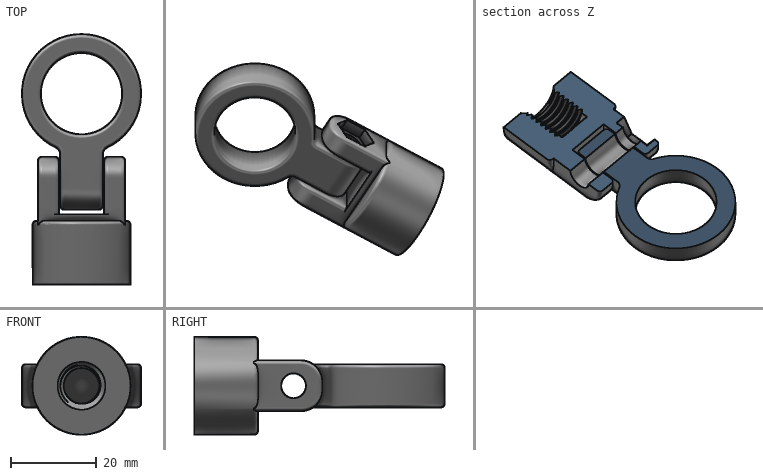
import cadquery as cq
import math

EDGE_ROUND = 1.0
END_ROUND = 5.0

PIVOT_Y = 23.3
PIVOT_DIAMETER = 5.75

HUB_DIAMETER = 23.0
HUB_LENGTH = 15.0
FORK_WIDTH = 20.5
FORK_HEIGHT = 12.0
FORK_TIP_Y = 30.0
SLOT_WIDTH = 10.5
SLOT_FLOOR_Y = 16.5
NUT_ACROSS_FLATS = 8.5
NUT_POCKET_DEPTH = 2.5

THREAD_PITCH = 1.5
THREAD_MAJOR_DIAMETER = 9.93
THREAD_MINOR_DIAMETER = 8.34
THREAD_MOUTH_DIAMETER = 11.2
BORE_DEPTH = 12.0
THREAD_TURNS = 8.3
GROOVE_ROOT_WIDTH = THREAD_PITCH / 8
GROOVE_OVERLAP = 0.1
FLANK_ANGLE = math.radians(30)

RING_OUTER_DIAMETER = 28.0
RING_BORE_DIAMETER = 19.0
RING_CENTRE_Y = 44.76
ARM_WIDTH = 10.1
ARM_THICKNESS = 10.2
ARM_END_Y = 17.55
NECK_ROUND = 1.5


def box_between(width, y_start, y_end, height):
    """Box centred on X and Z that runs from y_start to y_end."""
    return cq.Workplane("XY").box(width, y_end - y_start, height).translate((0, (y_start + y_end) / 2, 0))


def pivot_hole():
    """Cutter along X through both fork cheeks or the eye arm."""
    return (
        cq.Workplane("YZ")
        .center(PIVOT_Y, 0)
        .circle(PIVOT_DIAMETER / 2)
        .extrude(FORK_WIDTH, both=True)
    )


def make_hub():
    """Cylinder with its end next to the fork rounded."""
    hub = cq.Workplane("XZ").circle(HUB_DIAMETER / 2).extrude(-HUB_LENGTH)
    return hub.faces(">Y").edges().fillet(EDGE_ROUND)


def make_fork():
    """Two round-tipped cheeks joined by a web that reaches down into the rounded end of the hub."""
    fork_root_y = HUB_LENGTH - EDGE_ROUND
    fork = box_between(FORK_WIDTH, fork_root_y, FORK_TIP_Y, FORK_HEIGHT)
    fork = fork.edges("|X and >Y").fillet(END_ROUND)
    fork = fork.cut(box_between(SLOT_WIDTH, SLOT_FLOOR_Y, FORK_TIP_Y, FORK_HEIGHT))
    return fork.faces("|X").edges("|Z and >Y").fillet(EDGE_ROUND)


def nut_pocket():
    """Hexagonal recess in the -X cheek, with two flats parallel to Y."""
    across_corners = NUT_ACROSS_FLATS / math.cos(math.pi / 6)
    return (
        cq.Workplane("YZ", origin=(-FORK_WIDTH / 2, PIVOT_Y, 0))
        .polygon(6, across_corners)
        .extrude(NUT_POCKET_DEPTH)
    )


def threaded_bore():
    """Minor-diameter bore with a conical mouth."""
    minor_radius = THREAD_MINOR_DIAMETER / 2
    mouth_radius = THREAD_MOUTH_DIAMETER / 2
    mouth_depth = mouth_radius - minor_radius
    return (
        cq.Workplane("XY")
        .moveTo(0, 0)
        .lineTo(mouth_radius, 0)
        .lineTo(minor_radius, mouth_depth)
        .lineTo(minor_radius, BORE_DEPTH)
        .lineTo(0, BORE_DEPTH)
        .close()
        .revolve(360, (0, 0, 0), (0, 1, 0))
    )


def thread_groove():
    """Right-handed V groove swept one pitch ahead of the mouth and into the bore."""
    inner_radius = THREAD_MINOR_DIAMETER / 2 - GROOVE_OVERLAP
    outer_radius = THREAD_MAJOR_DIAMETER / 2
    half_root = GROOVE_ROOT_WIDTH / 2
    half_mouth = half_root + (outer_radius - inner_radius) * math.tan(FLANK_ANGLE)
    helix = cq.Wire.makeHelix(THREAD_PITCH, THREAD_TURNS * THREAD_PITCH, inner_radius)
    profile = (
        cq.Workplane("XZ")
        .moveTo(inner_radius, -half_mouth)
        .lineTo(outer_radius, -half_root)
        .lineTo(outer_radius, half_root)
        .lineTo(inner_radius, half_mouth)
        .close()
    )
    groove = profile.sweep(cq.Workplane(helix), isFrenet=True)
    return groove.rotate((0, 0, 0), (1, 0, 0), -90).translate((0, -THREAD_PITCH, 0))


def make_fork_socket():
    socket = make_hub().union(make_fork())
    socket = socket.cut(pivot_hole()).cut(nut_pocket())
    return socket.cut(threaded_bore()).cut(thread_groove())


def make_ring_eye():
    """Ring with an arm that fits between the fork cheeks."""
    ring = (
        cq.Workplane("XY", origin=(0, RING_CENTRE_Y, -ARM_THICKNESS / 2))
        .circle(RING_OUTER_DIAMETER / 2)
        .circle(RING_BORE_DIAMETER / 2)
        .extrude(ARM_THICKNESS)
    )
    bore_rims = cq.selectors.RadiusNthSelector(0)
    ring = ring.edges("%CIRCLE").edges(bore_rims).fillet(EDGE_ROUND)
    wall_middle_radius = (RING_OUTER_DIAMETER + RING_BORE_DIAMETER) / 4
    arm = box_between(ARM_WIDTH, ARM_END_Y, RING_CENTRE_Y - wall_middle_radius, ARM_THICKNESS)
    eye = ring.union(arm)
    neck_y = RING_CENTRE_Y - math.sqrt((RING_OUTER_DIAMETER / 2) ** 2 - (ARM_WIDTH / 2) ** 2)
    neck_edges = cq.selectors.BoxSelector(
        (-ARM_WIDTH, neck_y - EDGE_ROUND, -ARM_THICKNESS),
        (ARM_WIDTH, neck_y + EDGE_ROUND, ARM_THICKNESS),
    )
    eye = eye.edges("|Z").edges(neck_edges).fillet(NECK_ROUND)
    eye = eye.edges("|X and <Y").fillet(END_ROUND)
    eye = eye.edges("|Z and <Y").fillet(EDGE_ROUND)
    return eye.cut(pivot_hole())


fork_socket = make_fork_socket()
ring_eye = make_ring_eye()

result = cq.Compound.makeCompound([fork_socket.val(), ring_eye.val()])